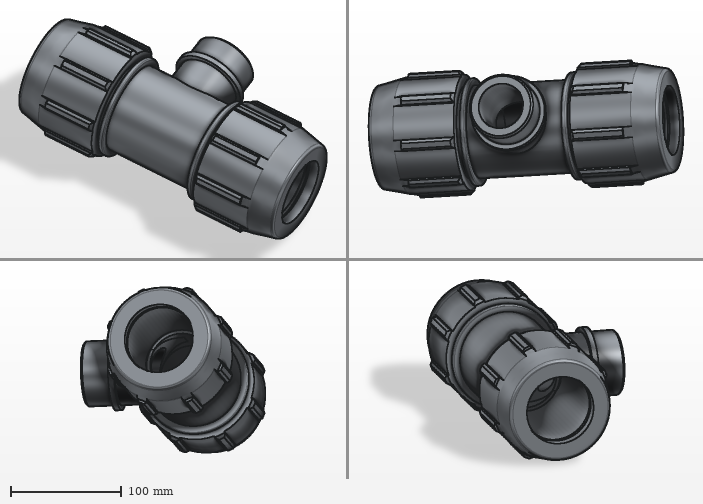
import cadquery as cq
import math

run_length = 272.0
pipe_diameter = 85.0
bore_diameter = 56.5
socket_diameter = 63.0
stop_half_length = 26.0

groove_depth = 9.5
groove_width = 4.4

collar_diameter = 98.2
collar_inner_x = 45.2
collar_width = 4.5
collar_round = 1.0

nut_length = 81.5
nut_diameter = 105.5
nut_end_diameter = 95.5
nut_end_round = 2.7
cone_length = 24.8

rib_angle = 23.0
rib_top_radius = 56.8
rib_width = 10.0
rib_chamfer = 2.5
rib_end_chamfer = 3.0
rib_cone_length = 7.3

branch_diameter = 59.5
branch_bore_diameter = 41.5
branch_end_y = 92.2
branch_end_chamfer = 2.0
branch_collar_diameter = 68.5
branch_collar_y = 60.7
branch_collar_width = 5.5

half_length = run_length / 2
pipe_radius = pipe_diameter / 2
bore_radius = bore_diameter / 2
nut_radius = nut_diameter / 2
nut_inner_x = half_length - nut_length
socket_radius = socket_diameter / 2
cone_start_x = half_length - cone_length
round_end_x = half_length - nut_end_round
nut_end_radius = nut_end_diameter / 2
cone_slope = (nut_radius - nut_end_radius) / (round_end_x - cone_start_x)
rib_end_x = cone_start_x - rib_cone_length
envelope_radius = rib_top_radius + 2.7


def x_cylinder(diameter, start_x, length):
    """Cylinder on the X axis."""
    return cq.Workplane("YZ", origin=(start_x, 0, 0)).circle(diameter / 2).extrude(length)


def y_cylinder(diameter, start_y, end_y):
    """Cylinder on the Y axis, from start_y to end_y."""
    return cq.Workplane("XZ", origin=(0, start_y, 0)).circle(diameter / 2).extrude(start_y - end_y)


def revolve_about_x(profile):
    """Solid of revolution about the X axis from a closed profile in the XY plane."""
    return profile.close().revolve(360, (0, 0, 0), (1, 0, 0))


def make_nut_envelope():
    """Turned nut at +X before the panels between its ribs are cut down to the nut diameter."""
    face_radius = nut_end_radius - nut_end_round
    middle = math.sqrt(0.5) * nut_end_round
    chamfer_foot_radius = rib_top_radius - rib_end_chamfer
    return revolve_about_x(
        cq.Workplane("XY")
        .moveTo(nut_inner_x, 0)
        .lineTo(nut_inner_x, chamfer_foot_radius)
        .lineTo(nut_inner_x + envelope_radius - chamfer_foot_radius, envelope_radius)
        .lineTo(rib_end_x, envelope_radius)
        .lineTo(rib_end_x, nut_radius + cone_slope * rib_cone_length)
        .lineTo(round_end_x, nut_end_radius)
        .threePointArc((round_end_x + middle, face_radius + middle), (half_length, face_radius))
        .lineTo(half_length, 0)
    )


def make_rib_bar():
    """Straight bar along X at +Z with the cross-section of a rib."""
    height = rib_top_radius - pipe_radius
    return (
        cq.Workplane("XY", origin=(nut_inner_x, 0, pipe_radius))
        .box(nut_length, rib_width, height, centered=(False, True, False))
        .faces(">Z")
        .edges("|X")
        .chamfer(rib_chamfer)
    )


def make_nut():
    """Nut at +X: all of the envelope outside the nut diameter is cut away, except at the ribs."""
    panel_length = cone_start_x - nut_inner_x
    clearance = x_cylinder(2 * envelope_radius + 5.5, nut_inner_x, panel_length)
    clearance = clearance.cut(x_cylinder(nut_diameter, nut_inner_x, panel_length))
    bar = make_rib_bar()
    for axis_angle in (0, 90, 180, 270):
        for side in (-1, 1):
            angle = axis_angle + side * rib_angle
            clearance = clearance.cut(bar.rotate((0, 0, 0), (1, 0, 0), angle))
    return make_nut_envelope().cut(clearance)


def make_collar():
    """Thin round-edged collar on the pipe at +X."""
    return x_cylinder(collar_diameter, collar_inner_x, collar_width).edges().fillet(collar_round)


def make_mouth_groove():
    """Ring that cuts the 90 degree V groove into the socket at +X."""
    groove_middle_x = half_length - groove_depth - groove_width / 2
    return revolve_about_x(
        cq.Workplane("XY")
        .moveTo(groove_middle_x - groove_width / 2, socket_radius)
        .lineTo(groove_middle_x, socket_radius + groove_width / 2)
        .lineTo(groove_middle_x + groove_width / 2, socket_radius)
        .lineTo(groove_middle_x + groove_width / 2, bore_radius)
        .lineTo(groove_middle_x - groove_width / 2, bore_radius)
    )


def make_passage():
    """Hollow of the run: a bore through the middle stop and a grooved socket from each end."""
    socket = x_cylinder(socket_diameter, stop_half_length, half_length - stop_half_length)
    socket = socket.union(make_mouth_groove())
    bore = x_cylinder(bore_diameter, -half_length, run_length)
    return bore.union(socket).union(socket.mirror("YZ"))


def make_run():
    """Pipe with its nuts and collars, bored through, with a seat for the branch."""
    nut = make_nut()
    collar = make_collar()
    run = x_cylinder(pipe_diameter, -nut_inner_x, 2 * nut_inner_x)
    run = run.union(nut).union(nut.mirror("YZ")).union(collar).union(collar.mirror("YZ"))
    return run.cut(make_passage()).cut(y_cylinder(branch_diameter, 0, branch_end_y))


def make_branch():
    """Branch pipe with its collar, ending flush with the hollow of the run."""
    branch = y_cylinder(branch_diameter, 0, branch_end_y).faces(">Y").chamfer(branch_end_chamfer)
    collar_end_y = branch_collar_y + branch_collar_width
    branch = branch.union(y_cylinder(branch_collar_diameter, branch_collar_y, collar_end_y))
    branch = branch.cut(y_cylinder(branch_bore_diameter, 0, branch_end_y))
    return branch.cut(make_passage())


run = make_run()
branch = make_branch()
result = cq.Compound.makeCompound([run.val(), branch.val()])